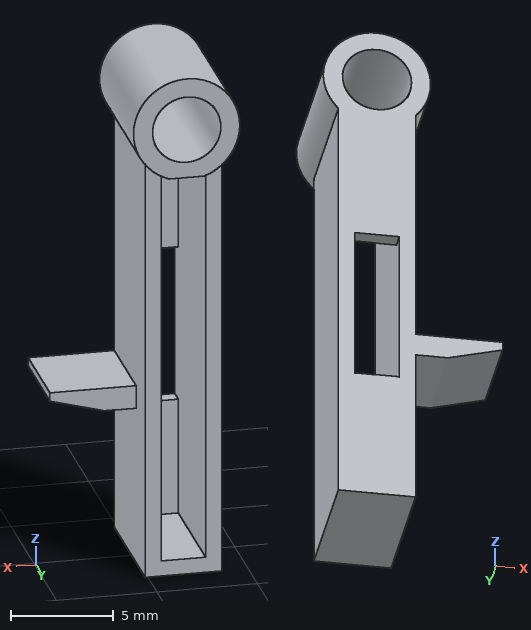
import cadquery as cq

barrel_diameter = 5.3
bore_diameter = 3.4
barrel_length = 7.5

arm_width = 3.82
arm_depth = 6.8
arm_drop = 23.49
arm_bottom = -arm_drop

window_width = 2.2
window_height = 7.95
window_sill = 6.74

wall_thickness = 0.8
cavity_top = -2.5

finger_reach = 6.2
finger_depth = 4.8
finger_height = 9.25
finger_top = arm_bottom + finger_height
finger_root_thickness = 1.18
finger_tip_thickness = 0.45
finger_taper_start = 3.5


def front_box(width, depth, height, bottom):
    """Box centred on X, running from the front face towards +Y."""
    box = cq.Workplane("XY").box(width, depth, height, centered=(True, False, False))
    return box.translate((0, 0, bottom))


def front_cylinder(diameter):
    """Cylinder along the barrel axis over the full barrel length."""
    return cq.Workplane("XZ").circle(diameter / 2).extrude(-barrel_length)


def make_finger():
    """Finger with a flat top and an underside that tapers towards the tip."""
    root_bottom = finger_top - finger_root_thickness
    profile = [
        (0, finger_top),
        (finger_reach, finger_top),
        (finger_reach, finger_top - finger_tip_thickness),
        (finger_taper_start, root_bottom),
        (0, root_bottom),
    ]
    return cq.Workplane("XZ").polyline(profile).close().extrude(-finger_depth)


def make_cavity():
    """Cavity running from behind the front wall out through the back."""
    bottom = arm_bottom + wall_thickness
    cavity = front_box(window_width, barrel_length - wall_thickness, cavity_top - bottom, bottom)
    return cavity.translate((0, wall_thickness, 0))


arm = front_box(arm_width, arm_depth, arm_drop, arm_bottom)
window = front_box(window_width, arm_depth, window_height, arm_bottom + window_sill)

body = front_cylinder(barrel_diameter).union(arm).union(make_finger())
result = body.cut(front_cylinder(bore_diameter)).cut(window).cut(make_cavity())